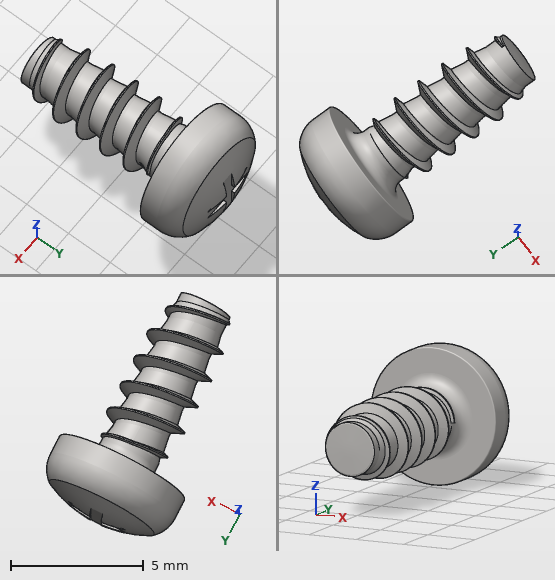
import cadquery as cq
import math


total_length = 9.27
head_radius = 2.65
head_height = 2.28
head_side_height = 0.825
shoulder_radius = 2.225
shoulder_arc_radius = 1.205
crown_radius = 4.73
head_edge_fillet = 0.05

slot_width = 0.49
slot_depth = 0.15

shank_radius = 1.17
neck_fillet = 0.5
shank_end = 0.75
shank_cone_end = 1.16
core_radius = 1.04
tip_face_radius = 0.97
tip_cone_height = 0.03
tip_chamfer_height = 0.02

pitch = 1.12
thread_start = 0.55
crest_radius = 1.5
crest_half_width = 0.03
land_radius = 1.13
head_flank_slope = 0.46
tip_flank_slope = 0.33
land_end = 0.71
buried_radius = 0.93
points_per_turn = 24

lead_in_crest_radius = 1.27
lead_in_shift = 0.19
tip_crest_radius = 1.14
tip_land_end = 0.14
vanish_crest_radius = 1.06
vanish_land_radius = 1.05
vanish_land_end = 0.065

thread_stations = [
    (0.0, lead_in_crest_radius, land_radius, lead_in_shift, land_end),
    (0.25, lead_in_crest_radius, land_radius, 0.0, land_end),
    (1.0, crest_radius, land_radius, 0.0, land_end),
    (4.25, crest_radius, land_radius, 0.0, land_end),
    (5.5, tip_crest_radius, land_radius, 0.0, tip_land_end),
    (5.6, vanish_crest_radius, vanish_land_radius, 0.0, vanish_land_end),
]


def turned_blank():
    """Head, neck and core as one revolved outline, given as (radius, Y) points."""
    tip_y = head_height - total_length
    slot_half_diagonal = slot_width / math.sqrt(2)
    crown_center_y = head_height - math.sqrt(crown_radius**2 - slot_half_diagonal**2)
    crown_apex = crown_center_y + crown_radius
    shoulder_height = crown_center_y + math.sqrt(crown_radius**2 - shoulder_radius**2)
    neck_mid = neck_fillet * (1 - math.sqrt(0.5))
    tip_rim_y = tip_y + tip_cone_height
    outline = (
        cq.Workplane("XY")
        .moveTo(0, tip_y)
        .lineTo(tip_face_radius, tip_rim_y)
        .lineTo(core_radius, tip_rim_y + tip_chamfer_height)
        .lineTo(core_radius, -shank_cone_end)
        .lineTo(shank_radius, -shank_end)
        .lineTo(shank_radius, -neck_fillet)
        .threePointArc((shank_radius + neck_mid, -neck_mid), (shank_radius + neck_fillet, 0))
        .lineTo(head_radius - head_edge_fillet, 0)
        .radiusArc((head_radius, head_edge_fillet), -head_edge_fillet)
        .lineTo(head_radius, head_side_height)
        .radiusArc((shoulder_radius, shoulder_height), -shoulder_arc_radius)
        .radiusArc((0, crown_apex), -crown_radius)
        .close()
    )
    return outline.revolve(360, (0, 0, 0), (0, 1, 0))


def cross_recess():
    """Two crossing slots over the whole crown."""
    span = 2 * head_radius
    height = 2 * slot_depth
    arm = cq.Workplane("XY").box(span, height, slot_width)
    cross = arm.union(arm.rotate((0, 0, 0), (0, 1, 0), 90))
    return cross.translate((0, head_height, 0))


def ridge_section(crest, land, shift, land_tail):
    """Corners of the ridge as (axial offset, radius), from the head side to the tip side."""
    head_foot = shift - crest_half_width - head_flank_slope * (crest - core_radius)
    tip_foot = shift + crest_half_width + tip_flank_slope * (crest - land)
    return [
        (head_foot, buried_radius),
        (head_foot, core_radius),
        (shift - crest_half_width, crest),
        (shift + crest_half_width, crest),
        (tip_foot, land),
        (land_tail, core_radius),
        (land_tail, buried_radius),
    ]


def helix_point(turns, offset, radius):
    angle = 2 * math.pi * turns
    depth = thread_start + pitch * turns + offset
    return cq.Vector(radius * math.cos(angle), -depth, radius * math.sin(angle))


def helix_edge(start_turns, start_corner, end_turns, end_corner):
    """Helical edge whose radius and axial offset change evenly from one corner to the other."""
    steps = math.ceil((end_turns - start_turns) * points_per_turn)
    points = []
    for step in range(steps + 1):
        share = step / steps
        turns = start_turns + share * (end_turns - start_turns)
        offset = start_corner[0] + share * (end_corner[0] - start_corner[0])
        radius = start_corner[1] + share * (end_corner[1] - start_corner[1])
        points.append(helix_point(turns, offset, radius))
    return cq.Edge.makeSpline(points)


def end_cap(turns, section):
    corners = [helix_point(turns, offset, radius) for offset, radius in section]
    return cq.Face.makeFromWires(cq.Wire.makePolygon(corners, close=True))


def thread_ridge():
    """Closed solid made of ruled helical faces between the stations and a flat cap at each end."""
    sections = [(turns, ridge_section(*shape)) for turns, *shape in thread_stations]
    faces = [end_cap(*sections[0]), end_cap(*sections[-1])]
    for (start_turns, start), (end_turns, end) in zip(sections, sections[1:]):
        edges = [helix_edge(start_turns, a, end_turns, b) for a, b in zip(start, end)]
        for edge, next_edge in zip(edges, edges[1:] + edges[:1]):
            faces.append(cq.Face.makeRuledSurface(edge, next_edge))
    ridge = cq.Solid.makeSolid(cq.Shell.makeShell(faces))
    return cq.Workplane(ridge.fix())


union_tolerance = 0.001
result = turned_blank().cut(cross_recess()).union(thread_ridge(), tol=union_tolerance)